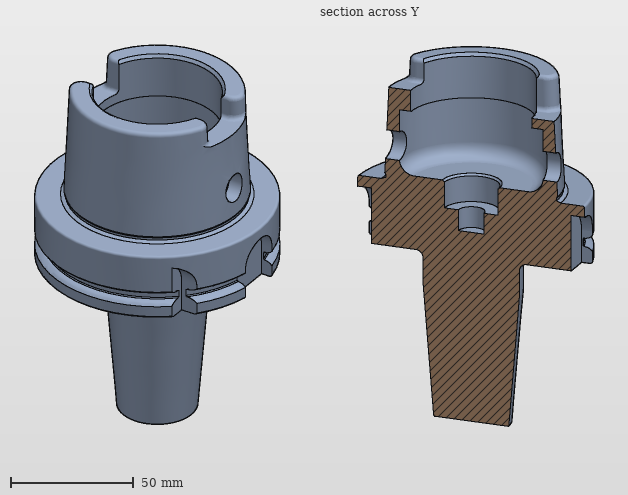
import cadquery as cq
import math

shank_length = 50.0
total_length = 150.0
nose_end_z = shank_length - total_length

flange_diameter = 100.0
flange_radius = flange_diameter / 2
flange_thickness = 29.0
flange_top_round = 1.0
flange_bottom_chamfer = 0.8
groove_top_z = -18.3
groove_bottom_z = -21.9
groove_floor_radius = 46.0
groove_wall_rise = 1.6
groove_root_bevel = 0.5

taper_slope = 0.047
taper_base_radius = 38.1
taper_base_z = 2.5
taper_tip_radius = taper_base_radius - taper_slope * (shank_length - taper_base_z)
rim_round = 1.8
neck_radius = 37.6
neck_bottom_z = 0.8
neck_top_z = 1.8
neck_foot_radius = 39.5

nose_radius = 21.3
nose_fillet = 3.0
nose_cone_top_z = -43.0
nose_tip_radius = 16.6
nose_tip_chamfer = 0.5

bore_radius = 26.5
bore_lip_width = 1.2
bore_lip_height = 1.4
bore_depth = 19.4
undercut_radius = 31.5
undercut_depth = 40.5
bore_floor_fillet = 6.5
floor_radius = undercut_radius - bore_floor_fillet
floor_depth = undercut_depth + bore_floor_fillet
coolant_radius = 11.7
coolant_chamfer = 0.9
coolant_depth = 12.0
pilot_radius = 5.5
pilot_depth = 9.0

drive_slot_width = 19.5
drive_corner_round = 4.8
drive_floor_fillet = 2.0
drive_depth_left = 15.0
drive_depth_right = 10.0
selection_margin = 1.5

cross_hole_radius = 6.2
cross_hole_z = shank_length - 35.0

keyway_top_z = -5.0
keyway_corner_radius = 10.0
keyway_left_width = 22.5
keyway_right_width = 2 * keyway_corner_radius
keyway_floor_x = 44.0
notch_floor_x = 31.6
notch_wall_y = -31.4

flat_distance = 47.2
flat_top_z = -3.8
flat_bottom_z = -12.0
flat_angle = 135.0


def make_body():
    """Revolve the complete outer profile as a solid."""
    root_radius = groove_floor_radius + groove_root_bevel
    wall_width = flange_radius - root_radius
    wall_arc_radius = (wall_width**2 + groove_wall_rise**2) / (2 * groove_wall_rise)
    profile = (
        cq.Workplane("XZ")
        .moveTo(0, shank_length)
        .lineTo(taper_tip_radius, shank_length)
        .lineTo(taper_base_radius, taper_base_z)
        .lineTo(neck_radius, neck_top_z)
        .lineTo(neck_radius, neck_bottom_z)
        .lineTo(neck_foot_radius, 0)
        .lineTo(flange_radius - flange_top_round, 0)
        .radiusArc((flange_radius, -flange_top_round), flange_top_round)
        .lineTo(flange_radius, groove_top_z + groove_wall_rise)
        .radiusArc((root_radius, groove_top_z), wall_arc_radius)
        .lineTo(groove_floor_radius, groove_top_z - groove_root_bevel)
        .lineTo(groove_floor_radius, groove_bottom_z + groove_root_bevel)
        .lineTo(root_radius, groove_bottom_z)
        .radiusArc((flange_radius, groove_bottom_z - groove_wall_rise), wall_arc_radius)
        .lineTo(flange_radius, -flange_thickness + flange_bottom_chamfer)
        .lineTo(flange_radius - flange_bottom_chamfer, -flange_thickness)
        .lineTo(nose_radius + nose_fillet, -flange_thickness)
        .radiusArc((nose_radius, -flange_thickness - nose_fillet), -nose_fillet)
        .lineTo(nose_radius, nose_cone_top_z)
        .lineTo(nose_tip_radius, nose_end_z + nose_tip_chamfer)
        .lineTo(nose_tip_radius - nose_tip_chamfer, nose_end_z)
        .lineTo(0, nose_end_z)
        .close()
    )
    return profile.revolve(360, (0, 0, 0), (0, 1, 0))


def make_clamping_bore():
    """Revolve the stepped bore: lip, bore, undercut, rounded floor, coolant hole and pilot."""
    undercut_top_z = shank_length - bore_depth
    floor_z = shank_length - floor_depth
    coolant_end_z = floor_z - coolant_depth
    pilot_end_z = coolant_end_z - pilot_depth
    profile = (
        cq.Workplane("XZ")
        .moveTo(0, shank_length)
        .lineTo(bore_radius + bore_lip_width, shank_length)
        .lineTo(bore_radius, shank_length - bore_lip_height)
        .lineTo(bore_radius, undercut_top_z)
        .lineTo(undercut_radius, undercut_top_z)
        .lineTo(undercut_radius, shank_length - undercut_depth)
        .radiusArc((floor_radius, floor_z), bore_floor_fillet)
        .lineTo(coolant_radius + coolant_chamfer, floor_z)
        .lineTo(coolant_radius, floor_z - coolant_chamfer)
        .lineTo(coolant_radius, coolant_end_z)
        .lineTo(pilot_radius, coolant_end_z)
        .lineTo(pilot_radius, pilot_end_z)
        .lineTo(0, pilot_end_z)
        .close()
    )
    return profile.revolve(360, (0, 0, 0), (0, 1, 0))


def cut_drive_slot(body, side, depth):
    """Cut one drive slot, round its outer wall corners and fillet its floor."""
    half_width = drive_slot_width / 2
    floor_z = shank_length - depth
    middle_z = shank_length - depth / 2
    slot = (
        cq.Workplane("XY", origin=(side * flange_radius / 2, 0, floor_z))
        .rect(flange_radius, drive_slot_width)
        .extrude(depth)
    )
    body = body.cut(slot)

    wall_corners = cq.selectors.BoxSelector(
        (side * bore_radius, -half_width - selection_margin, middle_z - selection_margin),
        (side * flange_radius, half_width + selection_margin, middle_z + selection_margin),
    )
    body = body.edges(wall_corners).fillet(drive_corner_round)

    floor_sides = cq.selectors.BoxSelector(
        (0, -half_width - selection_margin, floor_z - selection_margin),
        (side * flange_radius, half_width + selection_margin, floor_z + selection_margin),
    )
    return body.edges("|X").edges(floor_sides).fillet(drive_floor_fillet)


def make_keyway(side, floor_x, centre_y, width):
    """Cutter for a flange keyway with a rounded upper end, open at the flange bottom."""
    length = flange_radius
    cutter = (
        cq.Workplane("XY", origin=(side * (floor_x + length / 2), centre_y, -flange_thickness))
        .rect(length, width)
        .extrude(flange_thickness + keyway_top_z)
    )
    corner_radius = min(keyway_corner_radius, 0.499 * width)
    return cutter.edges("|X and >Z").fillet(corner_radius)


def make_label_flat():
    """Cutter that leaves a short flat on the flange rim."""
    length = flange_radius
    cutter = (
        cq.Workplane("XY", origin=(flat_distance + length / 2, 0, flat_bottom_z))
        .rect(length, flange_diameter)
        .extrude(flat_top_z - flat_bottom_z)
    )
    return cutter.rotate((0, 0, 0), (0, 0, 1), flat_angle)


result = make_body()
result = cut_drive_slot(result, -1, drive_depth_left)
result = cut_drive_slot(result, 1, drive_depth_right)
result = result.faces(">Z").edges().fillet(rim_round)
result = result.cut(make_clamping_bore())

cross_hole = (
    cq.Workplane("YZ", origin=(0, 0, cross_hole_z))
    .circle(cross_hole_radius)
    .extrude(flange_radius, both=True)
)
result = result.cut(cross_hole)

result = result.cut(make_keyway(-1, keyway_floor_x, 0, keyway_left_width))
result = result.cut(make_keyway(1, keyway_floor_x, 0, keyway_right_width))
notch_width = 2 * keyway_corner_radius
result = result.cut(make_keyway(1, notch_floor_x, notch_wall_y - notch_width / 2, notch_width))
result = result.cut(make_label_flat())